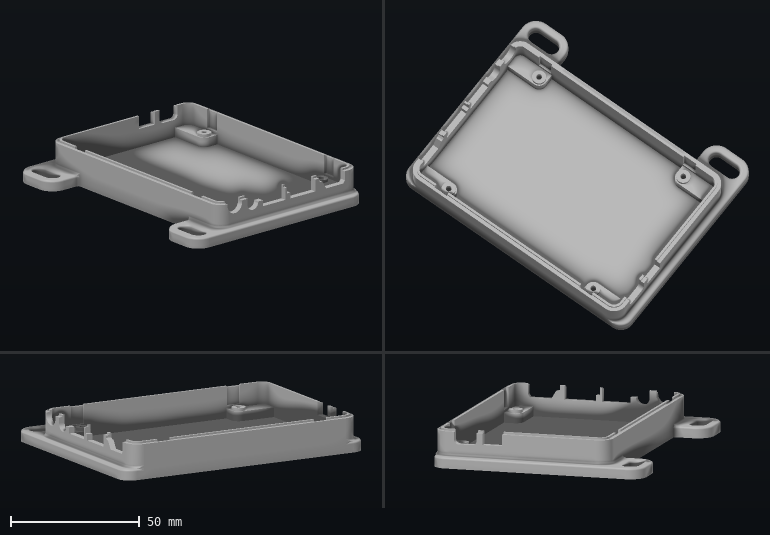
import cadquery as cq
import math


total_width = 108.0
box_width = 101.5
box_depth = 71.4
left_corner_radius = 5.6
right_corner_radius = 5.3
wall_thickness = 2.5
rim_height = 14.0
lip_height = 0.8
lip_setback = 1.5
floor_thickness = 1.9

total_height = rim_height + lip_height
back_y = box_depth / 2
front_y = -box_depth / 2

flange_height = 4.5
foot_reach = 14.1
foot_corner_radius = 6.5
slot_length = 13.6
slot_width = 6.0
edge_radius = 1.0
back_corner_radius = 5.3

foot_width = 2 * foot_corner_radius + slot_length - slot_width
flange_outer_x = -total_width / 2
foot_inner_x = flange_outer_x + foot_width
foot_front_y = front_y - foot_reach
slot_x = flange_outer_x + foot_width / 2
slot_y = foot_front_y + foot_corner_radius

platform_top = 5.8
boss_top = 7.0
boss_diameter = 5.5
screw_diameter = 2.3
platform_radius = 3.2
boss_inset = 6.4
left_boss_inset_back = 19.4
left_boss_inset_front = 19.7
right_boss_inset = 18.5
relief_width = 5.9
back_relief_setback = 1.2

port_floor = 9.2
step_floor = 11.7

left_round_port = (8.3, 17.5)
left_round_port_radius = 1.9
left_square_port = (19.9, 27.9)
left_square_port_floor = 9.5

shaped_port_back = 7.2
shaped_port_bevel_width = 0.8
shaped_port_bevel_height = 1.2
shaped_port_slope_start = 16.7
shaped_port_slope_end = 18.7
shaped_port_ledge_end = 19.5
shaped_port_front = 20.3
shaped_port_ledge_height = 12.4
shaped_port_shoulder_height = 13.1

middle_port = (22.2, 35.0)
middle_port_step_end = 36.6
front_port = (37.5, 48.9)
small_jack_y = 54.0
small_jack_diameter = 5.5
large_jack_y = 63.2
large_jack_diameter = 7.3
large_jack_z = 13.3

clearance = 1.1
cutter_top = total_height + clearance
port_cut_depth = wall_thickness + 2 * clearance


def block(x_range, y_range, z_range):
    """Plain block between the given limits."""
    sizes = [limits[1] - limits[0] for limits in (x_range, y_range, z_range)]
    corner = (x_range[0], y_range[0], z_range[0])
    return cq.Workplane("XY").box(*sizes, centered=False).translate(corner)


def inset_block(inset, bottom, top):
    """Rounded block that follows the box outline at a constant inset."""
    return (
        cq.Workplane("XY", origin=(0, 0, bottom))
        .rect(box_width - 2 * inset, box_depth - 2 * inset)
        .extrude(top - bottom)
        .edges("|Z and <X")
        .fillet(left_corner_radius - inset)
        .edges("|Z and >X")
        .fillet(right_corner_radius - inset)
    )


def left_flange_prism(height):
    """Left flange outline with its foot, flaring into the front wall of the box."""
    flare_x = foot_inner_x + edge_radius
    outline = (
        cq.Workplane("XY")
        .moveTo(flange_outer_x + back_corner_radius, back_y)
        .radiusArc((flange_outer_x, back_y - back_corner_radius), -back_corner_radius)
        .lineTo(flange_outer_x, slot_y)
        .radiusArc((flange_outer_x + foot_corner_radius, foot_front_y), -foot_corner_radius)
        .lineTo(foot_inner_x - foot_corner_radius, foot_front_y)
        .radiusArc((foot_inner_x, slot_y), -foot_corner_radius)
        .lineTo(foot_inner_x, front_y - edge_radius)
        .radiusArc((flare_x, front_y), edge_radius)
        .lineTo(flare_x, back_y)
        .close()
    )
    return outline.extrude(height)


def left_flange():
    """Slotted flange with its top edges and the slot rim rounded over."""
    slot = (
        cq.Workplane("XY", origin=(slot_x, slot_y, 0))
        .slot2D(slot_length, slot_width)
        .extrude(flange_height)
    )
    return left_flange_prism(flange_height).cut(slot).faces(">Z").edges().fillet(edge_radius)


def box_with_root_fillet():
    """Solid box whose walls flare into the flange tops through a concave fillet."""
    slab_margin = 4 * edge_radius
    slab = (
        cq.Workplane("XY")
        .rect(box_width + slab_margin, box_depth + slab_margin)
        .extrude(flange_height)
    )
    root_edges = cq.selectors.BoxSelector(
        (-box_width / 2 - edge_radius, front_y - edge_radius, flange_height - edge_radius),
        (box_width / 2 + edge_radius, back_y + edge_radius, flange_height + edge_radius),
    )
    box = inset_block(0, 0, rim_height)
    flared = slab.union(box).edges(root_edges).fillet(edge_radius)
    above_flange = block(
        (-total_width, total_width), (-total_width, total_width), (flange_height, total_height)
    )
    prism = left_flange_prism(total_height)
    flare = flared.intersect(prism.union(prism.mirror("YZ"))).intersect(above_flange)
    return box.union(flare)


def platform(x, y):
    """Raised floor between a boss and the nearest cavity corner."""
    x_side = math.copysign(1, x)
    y_side = math.copysign(1, y)
    x_limits = sorted((x - x_side * platform_radius, x_side * box_width / 2))
    y_limits = sorted((y - y_side * platform_radius, y_side * box_depth / 2))
    inner_corner = cq.selectors.NearestToPointSelector(
        (x - x_side * platform_radius, y - y_side * platform_radius, platform_top / 2)
    )
    raised = block(x_limits, y_limits, (0, platform_top)).edges("|Z").edges(inner_corner)
    return raised.fillet(platform_radius).intersect(inset_block(wall_thickness / 2, 0, platform_top))


def cylinder(x, y, diameter, height):
    """Upright cylinder standing on the underside plane."""
    return cq.Workplane("XY").center(x, y).circle(diameter / 2).extrude(height)


def wall_relief(x, y):
    """Recess beside a boss that interrupts the lip and thins the wall behind it."""
    if y > 0:
        y_limits = (y, back_y - back_relief_setback)
    else:
        y_limits = (front_y + lip_setback, y)
    x_limits = (x - relief_width / 2, x + relief_width / 2)
    return block(x_limits, y_limits, (boss_top, cutter_top))


def port_cutter(profile, start_x):
    """Extrude a YZ profile in +X from start_x, far enough to cross one side wall."""
    return profile.extrude(port_cut_depth).translate((start_x, 0, 0))


def port_y(distance):
    """Y position at a distance forward of the back face."""
    return back_y - distance


def open_port(limits, floor):
    """Rectangular opening between two distances from the back, open at the top."""
    return (
        cq.Workplane("YZ")
        .moveTo(port_y(limits[0]), floor)
        .lineTo(port_y(limits[1]), floor)
        .lineTo(port_y(limits[1]), cutter_top)
        .lineTo(port_y(limits[0]), cutter_top)
        .close()
    )


def jack_port(distance, diameter, center_z):
    """Half-round opening that continues straight up to the rim."""
    radius = diameter / 2
    y = port_y(distance)
    return (
        cq.Workplane("YZ")
        .moveTo(y + radius, cutter_top)
        .lineTo(y + radius, center_z)
        .threePointArc((y, center_z - radius), (y - radius, center_z))
        .lineTo(y - radius, cutter_top)
        .close()
    )


def shaped_port():
    """Opening with a small bevel at the back and a long slope and ledge at the front."""
    return (
        cq.Workplane("YZ")
        .moveTo(port_y(shaped_port_back), cutter_top)
        .lineTo(port_y(shaped_port_back), port_floor + shaped_port_bevel_height)
        .lineTo(port_y(shaped_port_back + shaped_port_bevel_width), port_floor)
        .lineTo(port_y(shaped_port_slope_start), port_floor)
        .lineTo(port_y(shaped_port_slope_end), shaped_port_ledge_height)
        .lineTo(port_y(shaped_port_ledge_end), shaped_port_ledge_height)
        .lineTo(port_y(shaped_port_front), shaped_port_shoulder_height)
        .lineTo(port_y(shaped_port_front), cutter_top)
        .close()
    )


def left_ports():
    """Cutters for the round-cornered and square openings in the -X wall."""
    start_x = -box_width / 2 - clearance
    round_port = port_cutter(open_port(left_round_port, port_floor), start_x)
    round_port = round_port.edges("|X and <Z").fillet(left_round_port_radius)
    square_port = port_cutter(open_port(left_square_port, left_square_port_floor), start_x)
    return round_port.union(square_port)


def right_ports():
    """Cutters for the connector and jack openings in the +X wall."""
    start_x = box_width / 2 + clearance - port_cut_depth
    middle_step = (middle_port[0], middle_port_step_end)
    jack_step = (front_port[0], small_jack_y)
    profiles = [
        shaped_port(),
        open_port(middle_port, port_floor),
        open_port(middle_step, step_floor),
        open_port(front_port, port_floor),
        open_port(jack_step, step_floor),
        jack_port(small_jack_y, small_jack_diameter, step_floor),
        jack_port(large_jack_y, large_jack_diameter, large_jack_z),
    ]
    cutters = cq.Workplane("XY")
    for profile in profiles:
        cutters = cutters.add(port_cutter(profile, start_x))
    return cutters.combine()


bosses = [
    (flange_outer_x + left_boss_inset_back, back_y - boss_inset),
    (flange_outer_x + left_boss_inset_front, front_y + boss_inset),
    (-flange_outer_x - right_boss_inset, back_y - boss_inset),
    (-flange_outer_x - right_boss_inset, front_y + boss_inset),
]

flange = left_flange()
tray = box_with_root_fillet().union(flange).union(flange.mirror("YZ"))
tray = tray.union(inset_block(lip_setback, rim_height, total_height))
tray = tray.cut(inset_block(wall_thickness, floor_thickness, cutter_top))

for boss_x, boss_y in bosses:
    tray = tray.union(platform(boss_x, boss_y))
    tray = tray.union(cylinder(boss_x, boss_y, boss_diameter, boss_top))
    tray = tray.cut(cylinder(boss_x, boss_y, screw_diameter, boss_top))
    tray = tray.cut(wall_relief(boss_x, boss_y))

result = tray.cut(left_ports()).cut(right_ports())